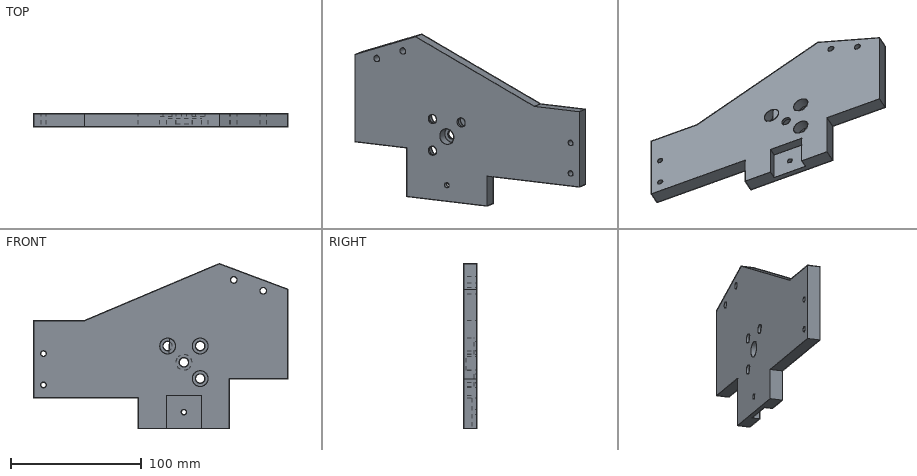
import cadquery as cq

length = 194.5
thickness = 10.1
height = 126.3
left_bottom_z = 23.5
left_top_z = 82.7
slope_start_x = 39.0
peak_x = 142.0
right_top_z = 106.6
right_bottom_z = 38.1
foot_left_x = 80.0
foot_right_x = 149.8

cluster_x = 115.0
cluster_z = 50.8
cluster_offset = 12.5
screw_hole_diameter = 7.0
counterbore_diameter = 12.0
counterbore_depth = 8.0
center_land = 2.0

cover_thickness = 0.2
cover_edge_shift = 1.2
cover_edge_tilt = 3.0

end_hole_diameter = 4.0
end_hole_x = 7.5
end_hole_heights = (33.5, 57.5)
top_hole_diameter = 4.9
top_hole_positions = ((153.1, 113.8), (175.7, 105.5))

pocket_width = 26.7
pocket_height = 25.3
pocket_depth = 6.5
pocket_hole_diameter = 3.9

cover_position = (cluster_x - cluster_offset, cluster_z + cluster_offset)
counterbore_positions = [
    cover_position,
    (cluster_x + cluster_offset, cluster_z + cluster_offset),
    (cluster_x + cluster_offset, cluster_z - cluster_offset),
]


def cylinder(position, diameter, start_y, depth):
    """Cylinder along +Y that starts at start_y, centred on an (x, z) position."""
    x, z = position
    axis_start = cq.Vector(x, start_y, z)
    return cq.Workplane(obj=cq.Solid.makeCylinder(diameter / 2, depth, axis_start, cq.Vector(0, 1, 0)))


def through_hole(position, diameter):
    return cylinder(position, diameter, 0, thickness)


def make_blank():
    outline = [
        (0, left_bottom_z),
        (foot_left_x, left_bottom_z),
        (foot_left_x, 0),
        (foot_right_x, 0),
        (foot_right_x, right_bottom_z),
        (length, right_bottom_z),
        (length, right_top_z),
        (peak_x, height),
        (slope_start_x, left_top_z),
        (0, left_top_z),
    ]
    return cq.Workplane("XZ").polyline(outline).close().extrude(-thickness)


def make_plate():
    plate = make_blank()

    for position in counterbore_positions:
        plate = plate.cut(through_hole(position, screw_hole_diameter))
        plate = plate.cut(cylinder(position, counterbore_diameter, 0, counterbore_depth))

    center = (cluster_x, cluster_z)
    plate = plate.cut(through_hole(center, screw_hole_diameter))
    plate = plate.cut(cylinder(center, counterbore_diameter, center_land, thickness - center_land))

    for z in end_hole_heights:
        plate = plate.cut(through_hole((end_hole_x, z), end_hole_diameter))
    for position in top_hole_positions:
        plate = plate.cut(through_hole(position, top_hole_diameter))

    pocket = cq.Workplane("XY").box(
        pocket_width, pocket_depth, pocket_height, centered=(True, False, False)
    ).translate((cluster_x, 0, 0))
    plate = plate.cut(pocket)
    return plate.cut(through_hole((cluster_x, pocket_height / 2), pocket_hole_diameter))


def make_cover():
    """Part of a disc to the right of a slightly tilted straight edge."""
    x, z = cover_position
    disc = cylinder(cover_position, counterbore_diameter, 0, cover_thickness)
    kept_side = (
        cq.Workplane("XY")
        .box(counterbore_diameter, cover_thickness, 2 * counterbore_diameter, centered=(False, False, True))
        .translate((cover_edge_shift, 0, 0))
        .rotate((0, 0, 0), (0, 1, 0), cover_edge_tilt)
        .translate((x, 0, z))
    )
    return disc.intersect(kept_side)


plate = make_plate()
cover = make_cover()

result = cq.Compound.makeCompound([plate.val(), cover.val()])